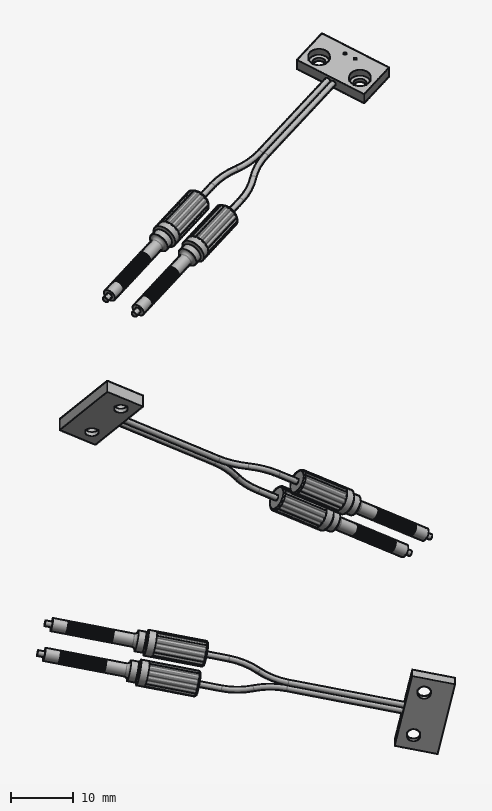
import cadquery as cq
import math

plate_length = 13.0
plate_width = 7.0
plate_thickness = 2.2
plate_back_y = 33.0
plate_front_y = plate_back_y - plate_width

mount_offset = 3.95
mount_setback = 2.5
mount_hole_diameter = 2.2
counterbore_diameter = 3.5
counterbore_depth = 1.4

window_offset = 1.0
window_setback = 1.5
window_diameter = 0.5
window_depth = plate_thickness / 2

cable_diameter = 1.0
cable_offset = 0.5
plug_offset = 2.8
bend_start_y = 7.05
bend_end_y = -3.1
cable_end_y = -33.0

grip_start_y = -6.8
grip_chamfer = 0.25
flute_end_y = -15.2
grip_end_y = -16.5
ring_start_y = -16.8
ring_end_y = -18.1
barrel_end_y = -31.9
grip_diameter = 4.2
neck_diameter = 2.0
ring_diameter = 3.4
barrel_diameter = 2.2

flute_count = 15
flute_width = 0.5
flute_depth = 0.2
flute_rim_radius = 0.1

knurl_start_y = -22.0
knurl_end_y = -29.45
knurl_count = 36
knurl_depth = 0.05


def make_plate():
    """Rectangular block with two counterbored holes and two blind windows."""
    centre_y = (plate_back_y + plate_front_y) / 2
    block = cq.Workplane("XY").box(plate_length, plate_width, plate_thickness).translate((0, centre_y, 0))
    top = cq.Workplane("XY", origin=(0, 0, plate_thickness / 2))
    mount_y = plate_front_y + mount_setback
    mounts = [(-mount_offset, mount_y), (mount_offset, mount_y)]
    holes = top.pushPoints(mounts).circle(mount_hole_diameter / 2).extrude(-plate_thickness)
    counterbores = top.pushPoints(mounts).circle(counterbore_diameter / 2).extrude(-counterbore_depth)
    window_y = plate_back_y - window_setback
    windows = (
        top.pushPoints([(-window_offset, window_y), (window_offset, window_y)])
        .circle(window_diameter / 2)
        .extrude(-window_depth)
    )
    return block.cut(holes).cut(counterbores).cut(windows)


def make_cable(side):
    """Round cable from the plate, through an S-bend of two equal arcs, to the plug tip."""
    half_shift = (plug_offset - cable_offset) / 2
    half_run = (bend_start_y - bend_end_y) / 2
    bend_radius = (half_run**2 + half_shift**2) / (2 * half_shift)
    half_turn = math.asin(half_run / bend_radius) / 2
    arc_run = bend_radius * math.sin(half_turn)
    arc_shift = bend_radius * (1 - math.cos(half_turn))
    path = (
        cq.Workplane("XY")
        .moveTo(side * cable_offset, plate_front_y)
        .lineTo(side * cable_offset, bend_start_y)
        .threePointArc(
            (side * (cable_offset + arc_shift), bend_start_y - arc_run),
            (side * (cable_offset + half_shift), bend_start_y - half_run),
        )
        .threePointArc(
            (side * (plug_offset - arc_shift), bend_end_y + arc_run),
            (side * plug_offset, bend_end_y),
        )
        .lineTo(side * plug_offset, cable_end_y)
    )
    return (
        cq.Workplane("XZ", origin=(side * cable_offset, plate_front_y, 0))
        .circle(cable_diameter / 2)
        .sweep(path)
    )


def make_plug_blank():
    """Turned plug about the Y axis, bored through for the cable."""
    bore_radius = cable_diameter / 2
    fillet_radius = (ring_diameter - barrel_diameter) / 2
    return (
        cq.Workplane("XY")
        .moveTo(bore_radius, grip_start_y)
        .lineTo(grip_diameter / 2 - grip_chamfer, grip_start_y)
        .lineTo(grip_diameter / 2, grip_start_y - grip_chamfer)
        .lineTo(grip_diameter / 2, grip_end_y)
        .lineTo(neck_diameter / 2, grip_end_y)
        .lineTo(neck_diameter / 2, ring_start_y)
        .lineTo(ring_diameter / 2, ring_start_y)
        .lineTo(ring_diameter / 2, ring_end_y)
        .radiusArc((barrel_diameter / 2, ring_end_y - fillet_radius), -fillet_radius)
        .lineTo(barrel_diameter / 2, barrel_end_y)
        .lineTo(bore_radius, barrel_end_y)
        .close()
        .revolve(360, (0, 0, 0), (0, 1, 0))
    )


def make_flutes():
    """Ring whose bore is the fluted outline: round flutes with rounded rims, one land at +X."""
    flute_radius = (flute_width**2 / 4 + flute_depth**2) / (2 * flute_depth)
    centre_radius = grip_diameter / 2 - flute_depth + flute_radius
    half_pitch = 180 / flute_count
    flute_start_y = grip_start_y - grip_chamfer
    base = cq.Workplane("XZ", origin=(0, flute_start_y, 0))
    length = flute_start_y - flute_end_y
    grooves = base.polarArray(centre_radius, 0, 360, flute_count).circle(flute_radius).extrude(length)
    core = base.circle(grip_diameter / 2).extrude(length).cut(grooves).edges("|Y").fillet(flute_rim_radius)
    core = core.rotate((0, 0, 0), (0, 1, 0), half_pitch)
    return base.circle(grip_diameter).extrude(length).cut(core)


def make_knurl():
    """Ring with a zigzag bore that cuts V-shaped lines along the barrel."""
    crest = barrel_diameter / 2
    root = crest - knurl_depth
    points = []
    for i in range(2 * knurl_count):
        angle = math.pi * i / knurl_count
        radius = crest if i % 2 == 0 else root
        points.append((radius * math.cos(angle), radius * math.sin(angle)))
    base = cq.Workplane("XZ", origin=(0, knurl_start_y, 0))
    length = knurl_start_y - knurl_end_y
    return base.circle(barrel_diameter).extrude(length).cut(base.polyline(points).close().extrude(length))


def make_plug(side):
    """Fluted and knurled plug; the two plugs mirror each other."""
    plug = make_plug_blank().cut(make_flutes()).cut(make_knurl())
    if side < 0:
        plug = plug.mirror("YZ")
    return plug.translate((side * plug_offset, 0, 0))


plate = make_plate()
cables = []
plugs = []
for side in (-1, 1):
    cables.append(make_cable(side).val())
    plugs.append(make_plug(side).val())

result = cq.Compound.makeCompound([plate.val(), *cables, *plugs])